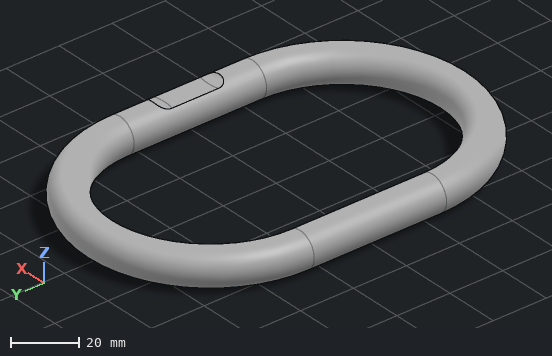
import cadquery as cq
import math

bar_diameter = 13.0
inner_width = 70.0
straight_length = 50.0
recess_length = 25.0
recess_depth = 1.5
runout_radius = 7.0
runout_bow_radius = 16.0

bar_radius = bar_diameter / 2
bend_radius = inner_width / 2 + bar_radius
half_straight = straight_length / 2
floor_height = bar_radius - recess_depth
runout_length = math.sqrt(runout_radius**2 - (runout_radius - recess_depth) ** 2)
half_floor = recess_length / 2 - runout_length
bow_axis_y = half_floor + runout_bow_radius


def ring():
    """Round bar swept along a closed racetrack centred on the origin."""
    path = (
        cq.Workplane("XY")
        .moveTo(bend_radius, 0)
        .lineTo(bend_radius, half_straight)
        .threePointArc((0, half_straight + bend_radius), (-bend_radius, half_straight))
        .lineTo(-bend_radius, -half_straight)
        .threePointArc((0, -half_straight - bend_radius), (bend_radius, -half_straight))
        .close()
    )
    return cq.Workplane("XZ", origin=(bend_radius, 0, 0)).circle(bar_radius).sweep(path)


def runout_plug(side):
    """Upright round plug with a flared foot; the flare is the end face of the recess."""
    half_angle = math.asin(runout_length / runout_radius) / 2
    mid_radius = runout_bow_radius - runout_radius * math.sin(half_angle)
    mid_height = floor_height + runout_radius * (1 - math.cos(half_angle))
    return (
        cq.Workplane("XZ", origin=(bend_radius, side * bow_axis_y, 0))
        .moveTo(0, floor_height)
        .lineTo(runout_bow_radius, floor_height)
        .threePointArc((mid_radius, mid_height), (runout_bow_radius - runout_length, bar_radius))
        .lineTo(0, bar_radius)
        .close()
        .revolve(360, (0, 0, 0), (0, 1, 0))
    )


def recess_cutter():
    """Flat-floored block whose two ends are shaped by the run-out plugs."""
    block = (
        cq.Workplane("XY", origin=(bend_radius, 0, floor_height))
        .rect(bar_diameter, 2 * bow_axis_y)
        .extrude(recess_depth)
    )
    for side in (-1, 1):
        block = block.cut(runout_plug(side))
    return block


result = ring().cut(recess_cutter())